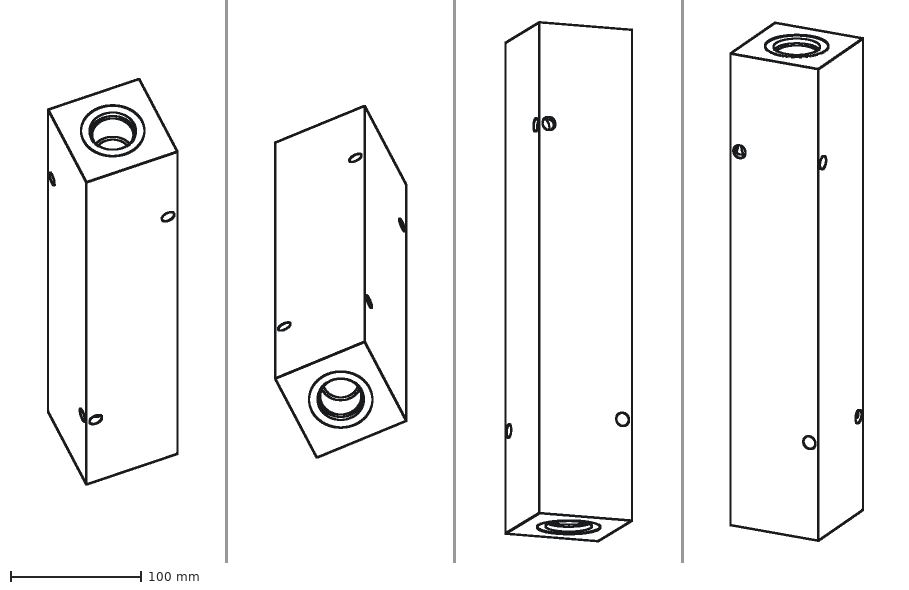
import cadquery as cq
import math

side = 76.2
length = 387.35
edge_break = 0.254

bevel_angle = 45.0

bore_diameter = 27.8

spotface_diameter = 48.77
spotface_depth = 0.762
seal_mouth_diameter = 35.8
seal_depth = 3.5
seal_angle = 12.0
port_diameter = 31.6
port_depth = 29.0
port_floor_angle = 59.0

cross_hole_diameter = 10.1
cross_hole_edge_distance = 7.94
cross_hole_spacing = 228.6

half_length = length / 2
cross_hole_offset = side / 2 - cross_hole_edge_distance
cross_hole_height = cross_hole_spacing / 2


def cone_height(outer_radius, inner_radius, angle):
    """Axial height of a cone whose wall leans by the given angle from the axis."""
    return (outer_radius - inner_radius) / math.tan(math.radians(angle))


def top_port():
    """Revolved cutter for the stepped port in the top end face."""
    bore_radius = bore_diameter / 2
    port_radius = port_diameter / 2
    spotface_radius = spotface_diameter / 2
    mouth_radius = seal_mouth_diameter / 2
    seal_radius = mouth_radius - seal_depth * math.tan(math.radians(seal_angle))

    spotface_z = half_length - spotface_depth
    seal_z = spotface_z - seal_depth
    bevel_z = seal_z - cone_height(seal_radius, port_radius, bevel_angle)
    port_z = half_length - port_depth
    floor_z = port_z - cone_height(port_radius, bore_radius, port_floor_angle)

    profile = [
        (0, half_length),
        (spotface_radius, half_length),
        (spotface_radius, spotface_z),
        (mouth_radius, spotface_z),
        (seal_radius, seal_z),
        (port_radius, bevel_z),
        (port_radius, port_z),
        (bore_radius, floor_z),
        (0, floor_z),
    ]
    return cq.Workplane("XZ").polyline(profile).close().revolve(360, (0, 0, 0), (0, 1, 0))


def cross_holes(plane, upper_position):
    """Cutter for two through holes, diagonally opposite on one side face."""
    centres = [(upper_position, cross_hole_height), (-upper_position, -cross_hole_height)]
    hole_radius = cross_hole_diameter / 2
    half_side = side / 2
    cutter = cq.Workplane(plane).pushPoints(centres).circle(hole_radius).extrude(half_side, both=True)
    for face_distance in (half_side, -half_side):
        rim = (
            cq.Workplane(plane)
            .workplane(offset=face_distance)
            .pushPoints(centres)
            .circle(hole_radius + edge_break)
            .extrude(math.copysign(edge_break, -face_distance), taper=bevel_angle)
        )
        cutter = cutter.union(rim)
    return cutter


bar = cq.Workplane("XY").box(side, side, length).edges().chamfer(edge_break)
bore = cq.Workplane("XY").circle(bore_diameter / 2).extrude(length, both=True)
port = top_port()

result = (
    bar.cut(bore)
    .cut(port)
    .cut(port.mirror("XY"))
    .cut(cross_holes("XZ", -cross_hole_offset))
    .cut(cross_holes("YZ", cross_hole_offset))
)